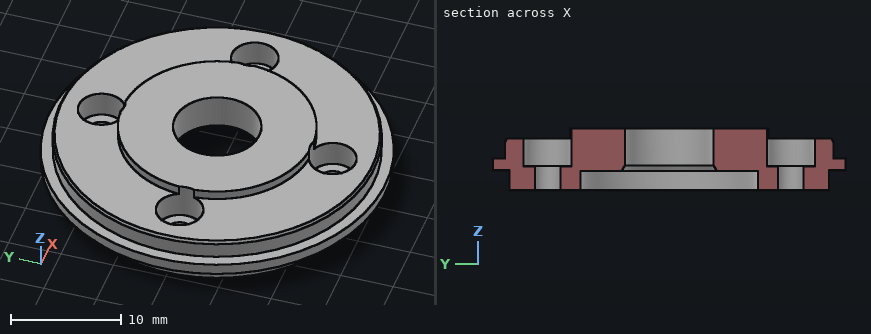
import cadquery as cq
import math

spigot_diameter = 29.0
flange_diameter = 32.0
body_diameter = 29.8
boss_diameter = 18.0
flange_bottom = 1.8
flange_top = 2.9
body_top = 4.7
boss_top = 5.6
chamfer_angle = 30.0
chamfer_slope = math.tan(math.radians(chamfer_angle))
body_chamfer_height = 0.3

bore_diameter = 8.0
bore_depth = 3.35
flare_width = 0.3
recess_diameter = 16.0

screw_count = 4
screw_circle_radius = 11.0
screw_diameter = 2.3
counterbore_diameter = 4.3
counterbore_depth = 2.5


def turned(outline):
    """Solid of revolution about Z from (radius, height) points."""
    return cq.Workplane("XZ").polyline(outline).close().revolve(360, (0, 0), (0, 1))


def make_blank():
    """Stepped disc with a chamfered upper body and a central boss."""
    chamfer_width = body_chamfer_height * chamfer_slope
    body_radius = body_diameter / 2
    shoulder = body_top - body_chamfer_height
    outline = [
        (0, 0),
        (spigot_diameter / 2, 0),
        (spigot_diameter / 2, flange_bottom),
        (flange_diameter / 2, flange_bottom),
        (flange_diameter / 2, flange_top),
        (body_radius, flange_top),
        (body_radius, shoulder),
        (body_radius - chamfer_width, body_top),
        (boss_diameter / 2, body_top),
        (boss_diameter / 2, boss_top),
        (0, boss_top),
    ]
    return turned(outline)


def make_bore():
    """Straight bore from the top, a conical flare, then the underside recess."""
    bore_radius = bore_diameter / 2
    recess_radius = recess_diameter / 2
    flare_top = boss_top - bore_depth
    flare_bottom = flare_top - flare_width / chamfer_slope
    outline = [
        (0, 0),
        (recess_radius, 0),
        (recess_radius, flare_bottom),
        (bore_radius + flare_width, flare_bottom),
        (bore_radius, flare_top),
        (bore_radius, boss_top),
        (0, boss_top),
    ]
    return turned(outline)


def on_screw_circle(workplane):
    """Points for the screws, evenly spaced around the axis."""
    return workplane.polarArray(screw_circle_radius, 0, 360, screw_count)


def make_screw_holes():
    """Through holes with counterbores that also clip the rim of the boss."""
    through = on_screw_circle(cq.Workplane("XY")).circle(screw_diameter / 2).extrude(boss_top)
    seat = cq.Workplane("XY").workplane(offset=body_top - counterbore_depth)
    counterbore_height = boss_top - body_top + counterbore_depth
    counterbores = on_screw_circle(seat).circle(counterbore_diameter / 2).extrude(counterbore_height)
    return through.union(counterbores)


result = make_blank().cut(make_bore()).cut(make_screw_holes())